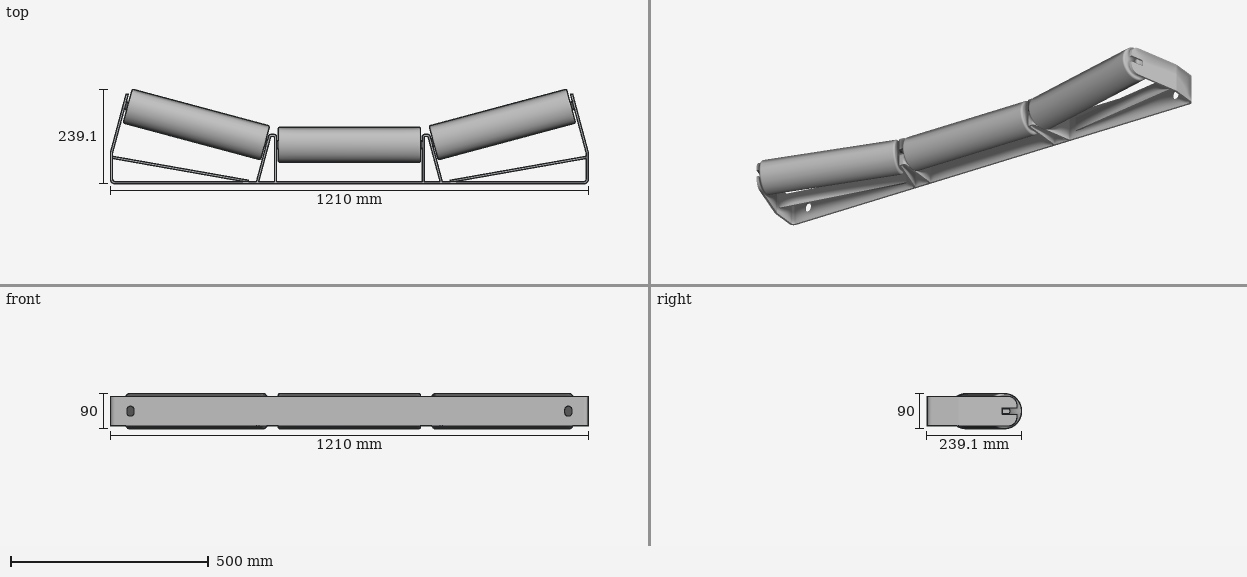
import cadquery as cq
import math

FRAME_LENGTH = 1210.0
STRIP_WIDTH = 75.0
STRIP_THICKNESS = 6.0
TROUGH_ANGLE = 15.0

BASE_BEND_RADIUS = 12.0
KNEE_HEIGHT = 80.0
ARM_LENGTH = 152.0
ARM_CORNER_RADIUS = 22.0

HOLE_SPACING = 1108.0
HOLE_WIDTH = 18.0
HOLE_HEIGHT = 25.0

ROLLER_DIAMETER = 90.0
ROLLER_LENGTH = 360.0
ROLLER_EDGE_RADIUS = 5.0
SHAFT_DIAMETER = 20.0
SHAFT_FLATS = 12.0
SHAFT_SLOT_WIDTH = 17.0
SLOT_CORNER_RADIUS = 4.0
SLOT_DEPTH = 90.0
SLOT_OVERRUN = 12.0
CENTRE_ROLLER_HEIGHT = 99.0
SIDE_ROLLER_X = 387.0
AXIS_CROSSING_X = 196.0
SUPPORT_GAP = 4.0

BRACKET_HEIGHT = 126.0
BRACKET_BEND_RADIUS = 7.0

BRACE_WIDTH = 36.0
BRACE_ANGLE = 10.0
BRACE_END_X = 255.0
BRACE_END_HEIGHT = 4.0

HALF_LENGTH = FRAME_LENGTH / 2
TROUGH = math.radians(TROUGH_ANGLE)
SIDE_ROLLER_HEIGHT = CENTRE_ROLLER_HEIGHT + (SIDE_ROLLER_X - AXIS_CROSSING_X) * math.tan(TROUGH)
SHAFT_RADIUS = SHAFT_DIAMETER / 2
SUPPORT_FACE = ROLLER_LENGTH / 2 + SUPPORT_GAP
SHAFT_LENGTH = 2 * (SUPPORT_FACE + STRIP_THICKNESS)

STATIONS = [
    (-SIDE_ROLLER_X, SIDE_ROLLER_HEIGHT, -TROUGH_ANGLE),
    (0, CENTRE_ROLLER_HEIGHT, 0),
    (SIDE_ROLLER_X, SIDE_ROLLER_HEIGHT, TROUGH_ANGLE),
]


def at_station(shape, station):
    x, y, angle = station
    return shape.rotate((0, 0, 0), (0, 0, 1), angle).translate((x, y, 0))


def extrude_outline(points, width):
    """Closed XY outline extruded to a width centred on Z = 0."""
    return cq.Workplane("XY").workplane(offset=-width / 2).polyline(points).close().extrude(width)


def mirrored_pair(shape):
    return shape.union(shape.mirror("YZ"))


def make_outer_strip():
    tip_x = HALF_LENGTH - ARM_LENGTH * math.sin(TROUGH)
    tip_y = KNEE_HEIGHT + ARM_LENGTH * math.cos(TROUGH)
    outline = [
        (-HALF_LENGTH, 0),
        (HALF_LENGTH, 0),
        (HALF_LENGTH, KNEE_HEIGHT),
        (tip_x, tip_y),
        (-tip_x, tip_y),
        (-HALF_LENGTH, KNEE_HEIGHT),
    ]
    block = extrude_outline(outline, STRIP_WIDTH)
    block = block.faces("<Y").edges("|Z").fillet(BASE_BEND_RADIUS)
    strip = block.faces("|Z or >Y").shell(-STRIP_THICKNESS)
    rounded_ends = cq.Workplane("XY").box(FRAME_LENGTH, 2 * tip_y, STRIP_WIDTH)
    return strip.intersect(rounded_ends.edges("|X").fillet(ARM_CORNER_RADIUS))


def make_bracket():
    """Left-hand folded bracket standing on the base."""
    upright_x = -SUPPORT_FACE
    face_x = -SIDE_ROLLER_X + SUPPORT_FACE * math.cos(TROUGH)
    face_y = SIDE_ROLLER_HEIGHT - SUPPORT_FACE * math.sin(TROUGH)

    def lean_x(y):
        return face_x + (y - face_y) * math.tan(TROUGH)

    outline = [
        (upright_x, STRIP_THICKNESS),
        (upright_x, BRACKET_HEIGHT),
        (lean_x(BRACKET_HEIGHT), BRACKET_HEIGHT),
        (lean_x(STRIP_THICKNESS), STRIP_THICKNESS),
    ]
    block = extrude_outline(outline, STRIP_WIDTH)
    block = block.faces(">Y").edges("|Z").fillet(BRACKET_BEND_RADIUS)
    return block.faces("|Z or <Y").shell(-STRIP_THICKNESS)


def make_brace():
    """Left-hand sloping brace from the end wall down to the top of the base."""
    wall_x = -(HALF_LENGTH - STRIP_THICKNESS)
    slope = math.tan(math.radians(BRACE_ANGLE))
    end_top = STRIP_THICKNESS + BRACE_END_HEIGHT
    wall_top = end_top + (-BRACE_END_X - wall_x) * slope
    depth = STRIP_THICKNESS / math.cos(math.radians(BRACE_ANGLE))
    heel_x = -BRACE_END_X - (depth - BRACE_END_HEIGHT) / slope
    outline = [
        (wall_x, wall_top),
        (-BRACE_END_X, end_top),
        (-BRACE_END_X, STRIP_THICKNESS),
        (heel_x, STRIP_THICKNESS),
        (wall_x, wall_top - depth),
    ]
    return extrude_outline(outline, BRACE_WIDTH)


def make_shaft_slots():
    """Open-topped slots for one roller's shaft, as a bar along X from the shaft's underside upward."""
    length = SHAFT_LENGTH + 2 * SLOT_OVERRUN
    bar = cq.Workplane("XY").box(length, SLOT_DEPTH, SHAFT_SLOT_WIDTH)
    bar = bar.faces("<Y").edges("|X").fillet(SLOT_CORNER_RADIUS)
    return bar.translate((0, SLOT_DEPTH / 2 - SHAFT_RADIUS, 0))


def make_frame():
    frame = make_outer_strip()
    frame = frame.union(mirrored_pair(make_bracket())).union(mirrored_pair(make_brace()))
    for station in STATIONS:
        frame = frame.cut(at_station(make_shaft_slots(), station))
    holes = (
        cq.Workplane("XZ")
        .pushPoints([(-HOLE_SPACING / 2, 0), (HOLE_SPACING / 2, 0)])
        .slot2D(HOLE_HEIGHT, HOLE_WIDTH, 90)
        .extrude(-STRIP_THICKNESS)
    )
    return frame.cut(holes)


def make_rod(diameter, length):
    """Round bar along X, centred on the origin."""
    return cq.Workplane("YZ").workplane(offset=-length / 2).circle(diameter / 2).extrude(length)


def make_roller():
    """Roller along X with a flatted shaft end standing out at each side."""
    shell = make_rod(ROLLER_DIAMETER, ROLLER_LENGTH).faces("|X").edges().fillet(ROLLER_EDGE_RADIUS)
    flats = cq.Workplane("XY").box(SHAFT_LENGTH, SHAFT_DIAMETER, SHAFT_FLATS)
    return shell.union(make_rod(SHAFT_DIAMETER, SHAFT_LENGTH).intersect(flats))


frame = make_frame()
rollers = [at_station(make_roller(), station) for station in STATIONS]
result = cq.Compound.makeCompound([frame.val(), *[roller.val() for roller in rollers]])